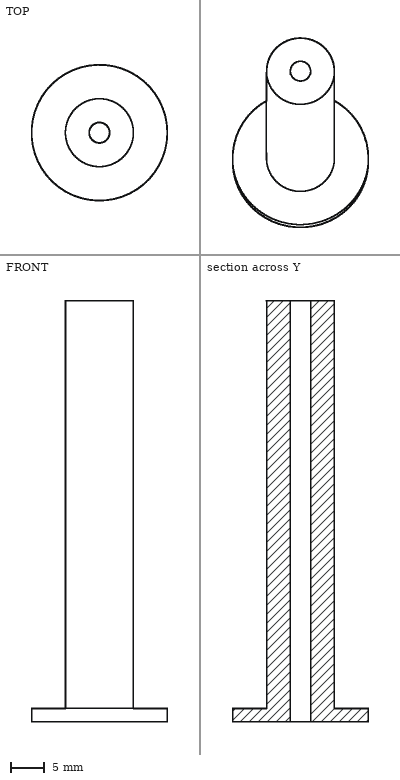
import cadquery as cq

total_height = 62.0
flange_diameter = 20.0
flange_thickness = 2.0
tube_diameter = flange_diameter / 2
bore_diameter = 3.0

flange = cq.Workplane("XY").circle(flange_diameter / 2).extrude(flange_thickness)

tube = cq.Workplane("XY").circle(tube_diameter / 2).extrude(total_height)

bore = cq.Workplane("XY").circle(bore_diameter / 2).extrude(total_height)

result = flange.union(tube).cut(bore)